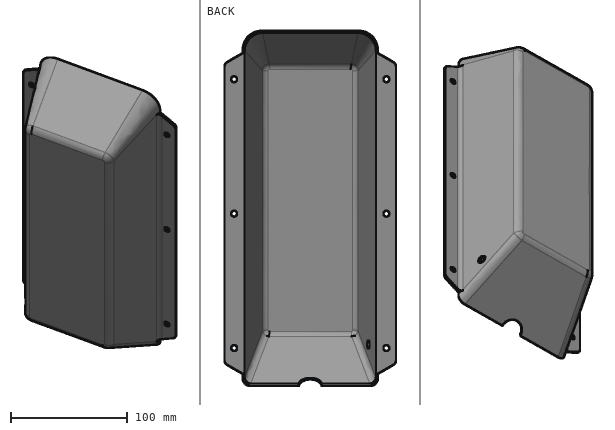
import cadquery as cq
import math

HEIGHT = 304.2
FLANGE_WIDTH = 147.0
DEPTH = 61.7
WALL = 1.8

BACK_WIDTH = 116.0
SIDE_LEAN = math.radians(15)
TOP_LEAN = math.radians(25)
BOTTOM_LEAN = math.radians(35)
EDGE_RADIUS = 7.0
TOP_BACK_RADIUS = 17.0

FLANGE_BOTTOM = 19.5
FLANGE_TOP = 276.0
FLANGE_END_ANGLE = math.radians(30)
FLANGE_CORNER_RADIUS = 4.5
BEND_RADIUS = 4.0

SCREW_DIAMETER = 5.0
SCREW_X = 65.0
SCREW_MIDDLE_Z = 147.5
SCREW_PITCH = 115.0
SIDE_HOLE_DIAMETER = 7.0
SIDE_HOLE_Y = -24.0
SIDE_HOLE_Z = 35.5
NOTCH_RADIUS = 9.7


def rounded_section(y, half_width, bottom, top, bottom_radius, top_radius):
    """Rectangle in the plane at y, with different bottom and top corner radii."""
    bottom_inset = bottom_radius * (1 - math.sqrt(0.5))
    top_inset = top_radius * (1 - math.sqrt(0.5))
    outline = (
        cq.Workplane("XZ", origin=(0, y, 0))
        .moveTo(bottom_radius - half_width, bottom)
        .lineTo(half_width - bottom_radius, bottom)
        .threePointArc((half_width - bottom_inset, bottom + bottom_inset),
                       (half_width, bottom + bottom_radius))
        .lineTo(half_width, top - top_radius)
        .threePointArc((half_width - top_inset, top - top_inset),
                       (half_width - top_radius, top))
        .lineTo(top_radius - half_width, top)
        .threePointArc((top_inset - half_width, top - top_inset),
                       (-half_width, top - top_radius))
        .lineTo(-half_width, bottom + bottom_radius)
        .threePointArc((bottom_inset - half_width, bottom + bottom_inset),
                       (bottom_radius - half_width, bottom))
        .close()
    )
    return outline.val()


def hood_solid(offset):
    """Tapered hood whose faces lie the given distance inside the outer faces."""
    front_depth = DEPTH - offset

    def section(depth, bottom_radius, top_radius):
        return rounded_section(
            -depth,
            BACK_WIDTH / 2 - depth * math.tan(SIDE_LEAN) - offset / math.cos(SIDE_LEAN),
            depth * math.tan(BOTTOM_LEAN) + offset / math.cos(BOTTOM_LEAN),
            HEIGHT - depth * math.tan(TOP_LEAN) - offset / math.cos(TOP_LEAN),
            bottom_radius - offset,
            top_radius - offset,
        )

    back = section(0, EDGE_RADIUS, TOP_BACK_RADIUS)
    front = section(front_depth, EDGE_RADIUS, EDGE_RADIUS)
    body = cq.Workplane(cq.Solid.makeLoft([back, front], True))
    return body.faces("<Y").edges().fillet(EDGE_RADIUS - offset)


def flange():
    """Right-hand flange, with a concave bend blending it into the side wall."""
    outer_x = FLANGE_WIDTH / 2
    root_x = BACK_WIDTH / 2 - WALL * math.tan(SIDE_LEAN)
    half_turn = (math.pi / 2 - SIDE_LEAN) / 2
    tangent = BEND_RADIUS * math.tan(half_turn)
    center_x = root_x + tangent
    center_y = -WALL - BEND_RADIUS
    wall_x = root_x - tangent * math.sin(SIDE_LEAN)
    wall_y = -WALL - tangent * math.cos(SIDE_LEAN)
    inner_x = wall_x - WALL / 2

    strip = (
        cq.Workplane("XY")
        .moveTo(inner_x, 0)
        .lineTo(outer_x, 0)
        .lineTo(outer_x, -WALL)
        .lineTo(center_x, -WALL)
        .threePointArc((center_x - BEND_RADIUS * math.sin(half_turn),
                        center_y + BEND_RADIUS * math.cos(half_turn)),
                       (wall_x, wall_y))
        .lineTo(inner_x, wall_y)
        .close()
        .extrude(HEIGHT)
    )
    end_rise = (outer_x - inner_x) * math.tan(FLANGE_END_ANGLE)
    outline = (
        cq.Workplane("XZ")
        .moveTo(inner_x, FLANGE_BOTTOM - end_rise)
        .lineTo(outer_x, FLANGE_BOTTOM)
        .lineTo(outer_x, FLANGE_TOP)
        .lineTo(inner_x, FLANGE_TOP + end_rise)
        .close()
        .extrude(DEPTH)
        .edges("|Y and >X")
        .fillet(FLANGE_CORNER_RADIUS)
    )
    return strip.intersect(outline)


def screw_holes():
    centers = [
        (side * SCREW_X, SCREW_MIDDLE_Z + step * SCREW_PITCH)
        for side in (-1, 1)
        for step in (-1, 0, 1)
    ]
    return cq.Workplane("XZ").pushPoints(centers).circle(SCREW_DIAMETER / 2).extrude(DEPTH)


def side_hole():
    """Round hole through the left wall only."""
    return (
        cq.Workplane("YZ", origin=(-BACK_WIDTH / 2, 0, 0))
        .center(SIDE_HOLE_Y, SIDE_HOLE_Z)
        .circle(SIDE_HOLE_DIAMETER / 2)
        .extrude(BACK_WIDTH / 2)
    )


def bottom_notch():
    """Half-round notch square to the bottom wall, centered on its back edge."""
    normal = cq.Vector(0, -math.sin(BOTTOM_LEAN), -math.cos(BOTTOM_LEAN))
    return cq.Workplane(
        cq.Solid.makeCylinder(NOTCH_RADIUS, 4 * WALL, normal * (-2 * WALL), normal)
    )


right_flange = flange()
result = (
    hood_solid(0)
    .union(right_flange)
    .union(right_flange.mirror("YZ"))
    .cut(hood_solid(WALL))
    .cut(screw_holes())
    .cut(side_hole())
    .cut(bottom_notch())
)